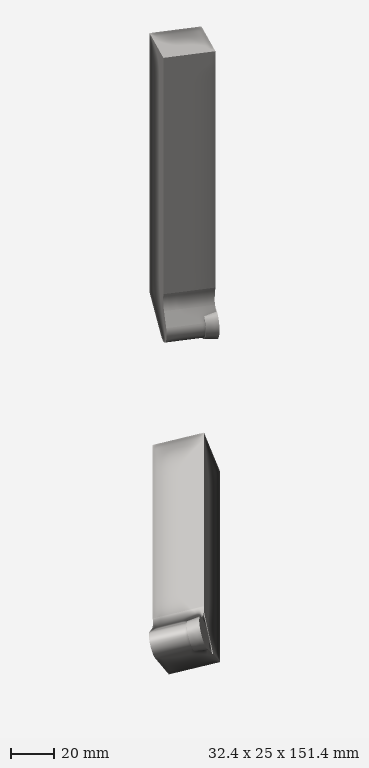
import cadquery as cq
import math

overall_height = 151.4
shank_width = 25.0
overall_width = 32.4
insert_radius = 8.0
insert_thickness = 6.4
relief_angle = 7.0
nose_radius = 6.5
flank_angle = math.radians(30.0)
neck_arc_radius = 10.9
neck_arc_end_x = 26.0
clearance_depth = 0.5
clearance_reach = 9.7
head_tilt = 45.0

axis_x = overall_width - insert_radius
axis_z = insert_radius
sine = math.sin(flank_angle)
cosine = math.cos(flank_angle)


def insert_blank():
    """Round insert, tapering from its cutting face on +Y toward -Y."""
    seat_radius = insert_radius - insert_thickness * math.tan(math.radians(relief_angle))
    blank = cq.Solid.makeCone(
        insert_radius,
        seat_radius,
        insert_thickness,
        cq.Vector(axis_x, shank_width, axis_z),
        cq.Vector(0, -1, 0),
    )
    return cq.Workplane("XY").add(blank)


def holder_blank():
    """Square shank with a round nose offset to +X, extruded along Y."""
    under_x = axis_x - nose_radius * sine
    under_z = axis_z - nose_radius * cosine
    flank_x = axis_x + nose_radius * cosine
    flank_z = axis_z + nose_radius * sine
    nose_middle = (axis_x + nose_radius * sine, axis_z - nose_radius * cosine)

    shank_corner_z = under_z + under_x * math.tan(flank_angle)

    arc_end_z = flank_z + (flank_x - neck_arc_end_x) / math.tan(flank_angle)
    arc_center_x = neck_arc_end_x + neck_arc_radius * cosine
    arc_center_z = arc_end_z + neck_arc_radius * sine
    arc_rise = math.sqrt(neck_arc_radius**2 - (arc_center_x - shank_width) ** 2)

    profile = (
        cq.Workplane("XZ")
        .moveTo(0, overall_height)
        .lineTo(0, shank_corner_z)
        .lineTo(under_x, under_z)
        .threePointArc(nose_middle, (flank_x, flank_z))
        .lineTo(neck_arc_end_x, arc_end_z)
        .threePointArc(
            (arc_center_x - neck_arc_radius, arc_center_z),
            (shank_width, arc_center_z + arc_rise),
        )
        .lineTo(shank_width, overall_height)
        .close()
    )
    return profile.extrude(-shank_width)


def head_clearance():
    """Shallow cut on the head's +Y face, stepped square to the head's direction."""
    size = 2 * shank_width
    block = cq.Workplane("XY").box(size, clearance_depth, size, centered=(False, False, True))
    return (
        block.translate((-clearance_reach, 0, 0))
        .rotate((0, 0, 0), (0, 1, 0), head_tilt)
        .translate((axis_x, shank_width - clearance_depth, axis_z))
    )


insert = insert_blank()
holder = (
    holder_blank()
    .cut(head_clearance())
    .cut(insert)
)

result = cq.Compound.makeCompound([holder.val(), insert.val()])